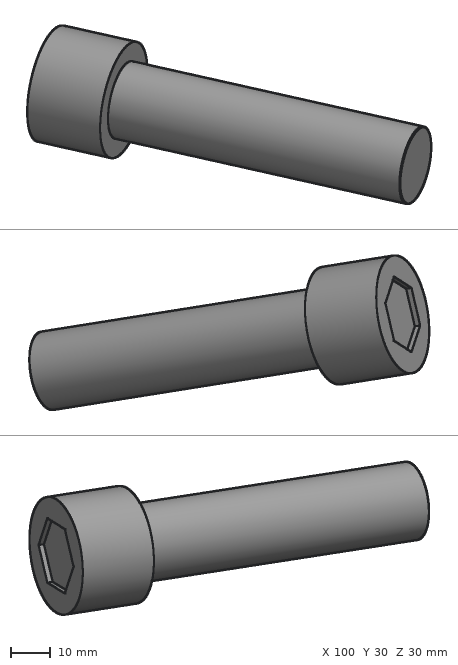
import cadquery as cq
import math

total_length = 100.0
shank_diameter = 20.0
head_diameter = 1.5 * shank_diameter
head_length = shank_diameter
end_chamfer = 0.2

socket_across_flats = 17.0
socket_across_corners = socket_across_flats / math.cos(math.pi / 6)
socket_depth = 1.5

head_face_x = -total_length / 2


def make_head():
    return cq.Workplane("YZ", origin=(head_face_x, 0, 0)).circle(head_diameter / 2).extrude(head_length)


def make_shank():
    shank = (
        cq.Workplane("YZ", origin=(head_face_x + head_length, 0, 0))
        .circle(shank_diameter / 2)
        .extrude(total_length - head_length)
    )
    return shank.faces(">X").chamfer(end_chamfer)


def make_socket():
    return (
        cq.Workplane("YZ", origin=(head_face_x, 0, 0))
        .polygon(6, socket_across_corners)
        .extrude(socket_depth)
    )


result = make_head().union(make_shank()).cut(make_socket())